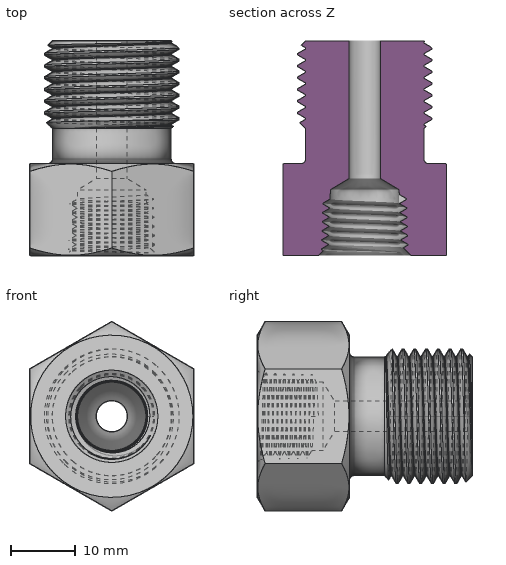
import cadquery as cq
import math

INCH = 25.4
LENGTH = 33.27
THREAD_FLANK_ANGLE = 30.0

HEX_SIDES = 6
HEX_ACROSS_FLATS = INCH
HEX_LENGTH = 14.28
HEX_CHAMFER_ANGLE = 30.0
HEX_FACE_RADIUS = 12.55

MALE_CREST_RADIUS = 10.43
NECK_RADIUS = 9.2
MALE_ROOT_RADIUS = 9.22
MALE_PITCH = INCH / 14
MALE_ROOT_FLAT = 0.16
MALE_START = 19.7
MALE_GROOVE_START = 18.48
NECK_FILLET_RADIUS = 0.7

FEMALE_CREST_RADIUS = 5.6
FEMALE_ROOT_RADIUS = 6.7
FEMALE_PITCH = INCH / 18
FEMALE_ROOT_FLAT = 0.08
FEMALE_TAPER_ANGLE = math.degrees(math.atan(1 / 32))
FEMALE_GROOVE_OFFSET = 0.31
FEMALE_TURNS = 6
COUNTERSINK_RADIUS = 7.14

BORE_DEPTH = 10.2
DRILL_POINT_ANGLE = 118.0
THROUGH_HOLE_RADIUS = 2.39

MALE_CUT_MARGIN = 0.1
FEMALE_CUT_MARGIN = 0.02

STRAIGHT_HELIX = 360.0


def tangent(degrees):
    return math.tan(math.radians(degrees))


def revolve_about_y(points):
    """Revolve a closed outline of (radius, Y) points about the Y axis."""
    return cq.Workplane("XY").polyline(points).close().revolve(360, (0, 0, 0), (0, 1, 0))


def helical_rib(root_radius, outline, pitch, turns, taper_angle=0.0):
    """Sweep a closed (radius, Z) outline along a right-hand helix that climbs Z from the +X side.

    The helix has one edge per turn, which keeps the swept faces short enough to cut cleanly.
    """
    radius_per_turn = pitch * tangent(taper_angle)
    pitch_on_slope = pitch / math.cos(math.radians(taper_angle))
    helix_angle = taper_angle or STRAIGHT_HELIX
    turn_edges = []
    for turn in range(turns):
        radius = root_radius + turn * radius_per_turn
        turn_wire = cq.Wire.makeHelix(pitch_on_slope, pitch_on_slope, radius, angle=helix_angle)
        turn_edges += turn_wire.translate(cq.Vector(0, 0, turn * pitch)).Edges()
    helix = cq.Workplane(cq.Wire.assembleEdges(turn_edges))
    return cq.Workplane("XZ").polyline(outline).close().sweep(helix, isFrenet=True)


def groove_outline(root_radius, open_radius, root_flat):
    """V-groove outline that widens from its root flat to the open side."""
    half_root = root_flat / 2
    half_open = half_root + abs(open_radius - root_radius) * tangent(THREAD_FLANK_ANGLE)
    return [
        (root_radius, -half_root),
        (open_radius, -half_open),
        (open_radius, half_open),
        (root_radius, half_root),
    ]


def make_hexagon():
    corner_radius = HEX_ACROSS_FLATS / 2 / math.cos(math.pi / HEX_SIDES)
    prism = (
        cq.Workplane("XZ")
        .polygon(HEX_SIDES, 2 * corner_radius)
        .extrude(-HEX_LENGTH)
        .rotate((0, 0, 0), (0, 1, 0), 180 / HEX_SIDES)
    )
    chamfer_run = corner_radius - HEX_FACE_RADIUS
    chamfer_depth = chamfer_run * tangent(HEX_CHAMFER_ANGLE)
    envelope = revolve_about_y([
        (0, 0),
        (HEX_FACE_RADIUS, 0),
        (corner_radius, chamfer_depth),
        (corner_radius, HEX_LENGTH - chamfer_depth),
        (HEX_FACE_RADIUS, HEX_LENGTH),
        (0, HEX_LENGTH),
    ])
    return prism.intersect(envelope)


def make_threaded_shank():
    """Filleted neck and external thread; both thread ends have 45 degree chamfers."""
    chamfer_size = MALE_CREST_RADIUS - NECK_RADIUS
    fillet_arc_offset = NECK_FILLET_RADIUS * (1 - math.sqrt(0.5))
    blank = (
        cq.Workplane("XY")
        .moveTo(0, HEX_LENGTH)
        .lineTo(NECK_RADIUS + NECK_FILLET_RADIUS, HEX_LENGTH)
        .threePointArc(
            (NECK_RADIUS + fillet_arc_offset, HEX_LENGTH + fillet_arc_offset),
            (NECK_RADIUS, HEX_LENGTH + NECK_FILLET_RADIUS),
        )
        .lineTo(NECK_RADIUS, MALE_START)
        .lineTo(MALE_CREST_RADIUS, MALE_START + chamfer_size)
        .lineTo(MALE_CREST_RADIUS, LENGTH - chamfer_size)
        .lineTo(NECK_RADIUS, LENGTH)
        .lineTo(0, LENGTH)
        .close()
        .revolve(360, (0, 0, 0), (0, 1, 0))
    )
    turns = math.ceil((LENGTH - MALE_GROOVE_START) / MALE_PITCH) + 1
    outline = groove_outline(MALE_ROOT_RADIUS, MALE_CREST_RADIUS + MALE_CUT_MARGIN, MALE_ROOT_FLAT)
    groove = (
        helical_rib(MALE_ROOT_RADIUS, outline, MALE_PITCH, turns)
        .rotate((0, 0, 0), (1, 0, 0), -90)
        .translate((0, MALE_GROOVE_START, 0))
    )
    return blank.cut(groove)


def make_bore():
    """Countersink, tapered bore with a drill point, and the through hole."""
    bore_end_radius = FEMALE_CREST_RADIUS - BORE_DEPTH * tangent(FEMALE_TAPER_ANGLE)
    point_depth = (bore_end_radius - THROUGH_HOLE_RADIUS) / tangent(DRILL_POINT_ANGLE / 2)
    countersink_depth = COUNTERSINK_RADIUS - FEMALE_CREST_RADIUS
    return revolve_about_y([
        (0, 0),
        (COUNTERSINK_RADIUS, 0),
        (FEMALE_CREST_RADIUS, countersink_depth),
        (bore_end_radius, BORE_DEPTH),
        (THROUGH_HOLE_RADIUS, BORE_DEPTH + point_depth),
        (THROUGH_HOLE_RADIUS, LENGTH),
        (0, LENGTH),
    ])


def make_internal_groove():
    """Internal thread groove, widening from its deep end towards the opening."""
    deep_end = FEMALE_GROOVE_OFFSET + FEMALE_TURNS * FEMALE_PITCH
    taper_shrink = deep_end * tangent(FEMALE_TAPER_ANGLE)
    deep_root_radius = FEMALE_ROOT_RADIUS - taper_shrink
    deep_open_radius = FEMALE_CREST_RADIUS - taper_shrink - FEMALE_CUT_MARGIN
    outline = groove_outline(deep_root_radius, deep_open_radius, FEMALE_ROOT_FLAT)
    return (
        helical_rib(deep_root_radius, outline, FEMALE_PITCH, FEMALE_TURNS + 1, FEMALE_TAPER_ANGLE)
        .rotate((0, 0, 0), (1, 0, 0), 90)
        .translate((0, deep_end, 0))
    )


result = make_hexagon().union(make_threaded_shank()).cut(make_bore()).cut(make_internal_groove())